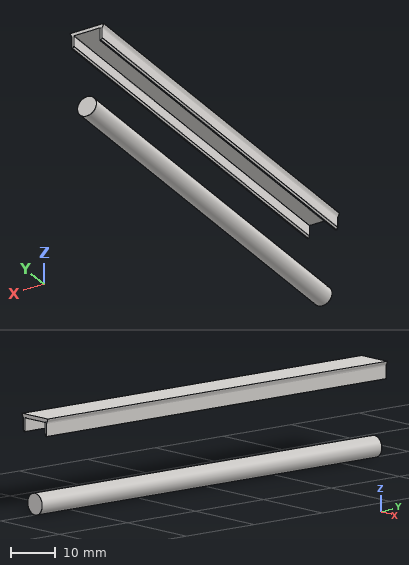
import cadquery as cq

LENGTH = 100.0
OVERALL_HEIGHT = 22.5

PLATE_WIDTH = 8.8
PLATE_THICKNESS = 0.9
COVER_HEIGHT = 4.1
LEG_THICKNESS = 0.6
FLANK_DEPTH = 0.4
FLANK_HEIGHT = 1.2
TIP_CHAMFER_WIDTH = 0.3
TIP_CHAMFER_HEIGHT = 0.5

ROD_DIAMETER = 5.0
ROD_AXIS_Z = ROD_DIAMETER / 2


def make_cover():
    """Draw the cover's section counterclockwise from the plate's -X top corner and extrude it."""
    edge_x = PLATE_WIDTH / 2
    outer_x = edge_x - FLANK_DEPTH
    inner_x = outer_x - LEG_THICKNESS
    flank_end_z = OVERALL_HEIGHT - FLANK_HEIGHT
    plate_bottom_z = OVERALL_HEIGHT - PLATE_THICKNESS
    tip_z = OVERALL_HEIGHT - COVER_HEIGHT
    chamfer_top_z = tip_z + TIP_CHAMFER_HEIGHT
    down = (0, -1)
    up = (0, 1)

    section = (
        cq.Workplane("XZ", origin=(0, LENGTH / 2, 0))
        .moveTo(-edge_x, OVERALL_HEIGHT)
        .spline([(-outer_x, flank_end_z)], tangents=[down, down], includeCurrent=True)
        .lineTo(-outer_x, chamfer_top_z)
        .lineTo(-outer_x + TIP_CHAMFER_WIDTH, tip_z)
        .lineTo(-inner_x, tip_z)
        .lineTo(-inner_x, plate_bottom_z)
        .lineTo(inner_x, plate_bottom_z)
        .lineTo(inner_x, chamfer_top_z)
        .lineTo(inner_x + TIP_CHAMFER_WIDTH, tip_z)
        .lineTo(outer_x, tip_z)
        .lineTo(outer_x, flank_end_z)
        .spline([(edge_x, OVERALL_HEIGHT)], tangents=[up, up], includeCurrent=True)
        .close()
    )
    return section.extrude(LENGTH)


def make_rod():
    """Make the cylinder along Y, centred on the cover's length."""
    return (
        cq.Workplane("XZ", origin=(0, LENGTH / 2, ROD_AXIS_Z))
        .circle(ROD_DIAMETER / 2)
        .extrude(LENGTH)
    )


cover = make_cover()
rod = make_rod()
result = cq.Compound.makeCompound([cover.val(), rod.val()])